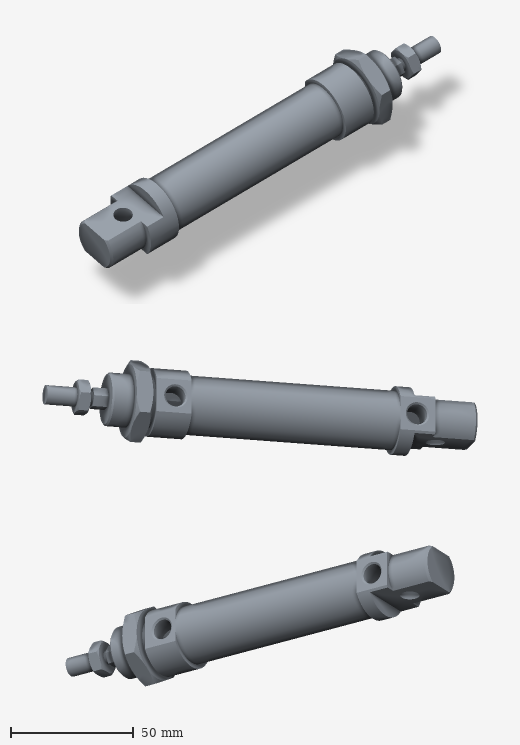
import cadquery as cq
import math


total_length = 180.0
flat_front = 27.0
rear_head_back = 18.4
rear_head_front = 33.1
front_head_back = 121.3
front_head_front = 136.0
neck_front = 154.3
rod_hex_front = 160.4
pivot_y = 15.1
front_port_y = 128.0
rear_port_y = 26.0

tube_diameter = 24.3
head_diameter = 28.0
neck_diameter = 22.0
neck_chamfer = 0.7
tang_diameter = 22.0
tang_thickness = 16.0
tang_chamfer = 0.9
pivot_diameter = 8.0
port_face_x = -tube_diameter / 2
port_diameter = 8.5
port_chamfer = 0.7

rod_diameter = 8.0
rod_hex_flats = 8.0
undercut_diameter = 6.0

mount_nut_flats = 30.0
mount_nut_thickness = 7.0
mount_nut_back = 138.2
rod_nut_flats = 13.0
rod_nut_thickness = 5.0
rod_nut_back = 162.2
nut_chamfer_angle = 30.0


def cylinder(diameter, back, front):
    """Round bar on the cylinder axis between two Y stations."""
    return cq.Workplane("XZ", origin=(0, back, 0)).circle(diameter / 2).extrude(back - front)


def hexagon_bar(across_flats, back, front):
    """Hexagonal bar on the cylinder axis with two corners on the X axis."""
    across_corners = across_flats / math.cos(math.radians(30))
    profile = cq.Workplane("XZ", origin=(0, back, 0)).polygon(6, across_corners)
    return profile.extrude(back - front)


def chamfered_hexagon(across_flats, back, front):
    """Hexagonal bar whose corners are trimmed by a cone at each end."""
    corner_radius = across_flats / 2 / math.cos(math.radians(30))
    face_radius = across_flats / 2
    drop = (corner_radius - face_radius) * math.tan(math.radians(nut_chamfer_angle))
    envelope = (
        cq.Workplane("XY")
        .moveTo(0, back)
        .lineTo(face_radius, back)
        .lineTo(corner_radius, back + drop)
        .lineTo(corner_radius, front - drop)
        .lineTo(face_radius, front)
        .lineTo(0, front)
        .close()
        .revolve(360, (0, 0, 0), (0, 1, 0))
    )
    return hexagon_bar(across_flats, back, front).intersect(envelope)


def make_head(back, front):
    """End cap with a flat port face on its -X side."""
    block = cq.Workplane("XY").box(
        head_diameter, front - back, head_diameter, centered=(False, False, True)
    )
    flat_cutter = block.translate((port_face_x - head_diameter, back, 0))
    return cylinder(head_diameter, back, front).cut(flat_cutter)


def make_port(port_y):
    """Cutter for an air port from the port face to the axis, with a countersunk mouth."""
    mouth = cq.Workplane("YZ", origin=(port_face_x, port_y, 0))
    bore = mouth.circle(port_diameter / 2).extrude(-port_face_x)
    countersink = mouth.circle(port_diameter / 2 + port_chamfer).extrude(port_chamfer, taper=45)
    return bore.union(countersink)


def make_tang_flats():
    """Cutters that flatten the rear end above and below the pivot."""
    slab = cq.Workplane("XY").box(
        2 * head_diameter, flat_front, head_diameter, centered=(True, False, False)
    )
    above = slab.translate((0, 0, tang_thickness / 2))
    below = slab.translate((0, 0, -tang_thickness / 2 - head_diameter))
    return above.union(below)


def make_rod():
    """Hexagonal rod ending at the back of the front head, with an undercut before its round end."""
    undercut_front = rod_nut_back
    return (
        hexagon_bar(rod_hex_flats, front_head_back, rod_hex_front)
        .union(cylinder(undercut_diameter, rod_hex_front, undercut_front))
        .union(cylinder(rod_diameter, undercut_front, total_length))
    )


def make_housing(rod):
    """Tube, both heads, neck and rear tang in one piece, with a socket that fits the rod."""
    tang = cylinder(tang_diameter, 0, rear_head_back).faces("<Y").chamfer(tang_chamfer)
    neck = cylinder(neck_diameter, front_head_front, neck_front).faces(">Y").chamfer(neck_chamfer)
    pivot_hole = (
        cq.Workplane("XY", origin=(0, pivot_y, 0))
        .circle(pivot_diameter / 2)
        .extrude(tang_thickness, both=True)
    )
    return (
        cylinder(tube_diameter, rear_head_front, front_head_back)
        .union(make_head(rear_head_back, rear_head_front))
        .union(make_head(front_head_back, front_head_front))
        .union(tang)
        .union(neck)
        .cut(make_tang_flats())
        .cut(pivot_hole)
        .cut(make_port(rear_port_y))
        .cut(make_port(front_port_y))
        .cut(rod)
    )


def make_mount_nut():
    """Large nut on the neck, turned so that two corners are on the Z axis."""
    front = mount_nut_back + mount_nut_thickness
    blank = chamfered_hexagon(mount_nut_flats, mount_nut_back, front)
    turned = blank.rotate((0, 0, 0), (0, 1, 0), 30)
    return turned.cut(cylinder(neck_diameter, mount_nut_back, front))


def make_rod_nut():
    """Small lock nut on the front end of the rod."""
    front = rod_nut_back + rod_nut_thickness
    blank = chamfered_hexagon(rod_nut_flats, rod_nut_back, front)
    return blank.cut(cylinder(rod_diameter, rod_nut_back, front))


rod = make_rod()
housing = make_housing(rod)
mount_nut = make_mount_nut()
rod_nut = make_rod_nut()

result = cq.Compound.makeCompound([housing.val(), rod.val(), mount_nut.val(), rod_nut.val()])